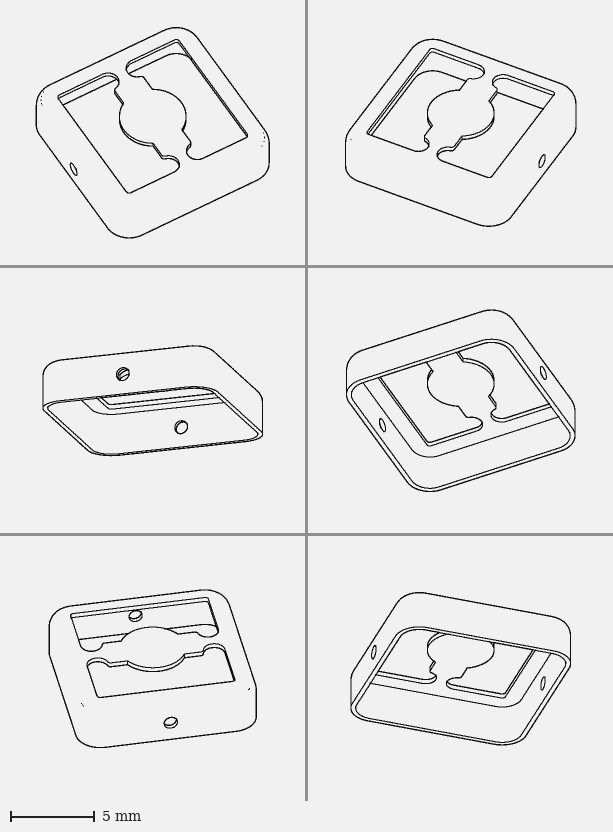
import cadquery as cq

side = 11.0
height = 2.8
corner_radius = 1.51
top_fillet = 0.8

wall = 0.3
cavity_corner_radius = corner_radius - wall
plate_thickness = 0.3

window_side = 8.4
window_corner_radius = 0.2
bridge_width = 2.0
bridge_corner_radius = 0.2
disk_diameter = 4.0
relief_radius = 0.65

hole_diameter = 0.8
hole_height = 1.25


def rounded_block(width, block_height, radius):
    """Square block standing on Z = 0 with rounded vertical edges."""
    block = cq.Workplane("XY").rect(width, width).extrude(block_height)
    return block.edges("|Z").fillet(radius)


def make_shell():
    outer = rounded_block(side, height, corner_radius).faces(">Z").edges().fillet(top_fillet)
    cavity = rounded_block(side - 2 * wall, height - plate_thickness, cavity_corner_radius)
    return outer.cut(cavity)


def make_half_window():
    """Cutter for the opening on the +Y side of the bridge."""
    half_window = window_side / 2
    half_bridge = bridge_width / 2
    relief_x = half_window - relief_radius
    opening_depth = half_window - half_bridge

    cutter = (
        cq.Workplane("XY")
        .center(0, half_bridge + opening_depth / 2)
        .rect(window_side, opening_depth)
        .extrude(height)
        .edges("|Z and >Y")
        .fillet(window_corner_radius)
    )
    reliefs = (
        cq.Workplane("XY")
        .pushPoints([(-relief_x, half_bridge), (relief_x, half_bridge)])
        .circle(relief_radius)
        .extrude(height)
    )
    cutter = cutter.union(reliefs)

    shoulder_x = relief_x - relief_radius
    for x in (-shoulder_x, shoulder_x):
        shoulder = cq.selectors.NearestToPointSelector((x, half_bridge, height / 2))
        cutter = cutter.edges("|Z").edges(shoulder).fillet(bridge_corner_radius)

    disk = cq.Workplane("XY").circle(disk_diameter / 2).extrude(height)
    return cutter.cut(disk)


def make_cross_hole():
    return (
        cq.Workplane("XZ")
        .center(0, hole_height)
        .circle(hole_diameter / 2)
        .extrude(side / 2, both=True)
    )


half_window = make_half_window()
result = (
    make_shell()
    .cut(half_window)
    .cut(half_window.mirror("XZ"))
    .cut(make_cross_hole())
)